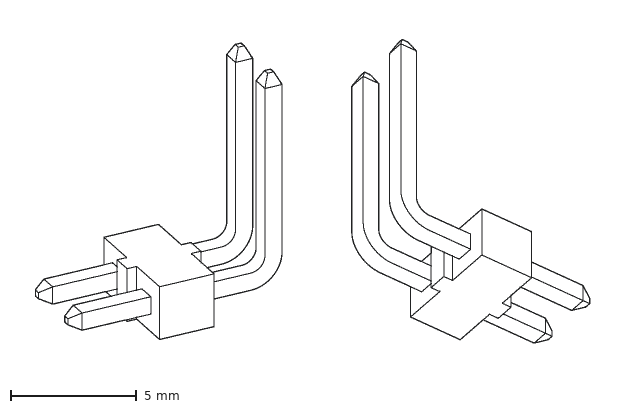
import cadquery as cq

body_width = 4.83
body_depth = 2.44
body_height = 2.36
rib_width = 0.86
rib_projection = 0.43

pin_pitch = 2.54
pin_size = 0.77
pin_axis_height = body_height / 2
pin_front_reach = 4.8
pin_back_reach = 4.65
pin_top = 10.17
bend_inner_radius = 0.63
tip_length = 0.51
tip_size = 0.27


def make_housing():
    """Plain block with a central rib on its front and back faces."""
    block = cq.Workplane("XY").box(body_width, body_depth, body_height, centered=(True, True, False))
    rib_depth = body_depth + 2 * rib_projection
    rib = cq.Workplane("XY").box(rib_width, rib_depth, body_height, centered=(True, True, False))
    return block.union(rib)


def make_tip(base_center, direction):
    """Truncated pyramid that narrows from the pin section along direction."""
    base_plane = cq.Plane(origin=base_center, xDir=(1, 0, 0), normal=direction)
    return (
        cq.Workplane(base_plane)
        .rect(pin_size, pin_size)
        .workplane(offset=tip_length)
        .rect(tip_size, tip_size)
        .loft(ruled=True)
    )


def make_pin(x):
    """Right-angle pin centred at x, tapered at both ends."""
    front = -pin_front_reach + tip_length
    back = pin_back_reach
    bottom = pin_axis_height - pin_size / 2
    top = pin_top - tip_length
    outer_radius = bend_inner_radius + pin_size
    shank = (
        cq.Workplane("YZ", origin=(x - pin_size / 2, 0, 0))
        .moveTo(front, bottom)
        .lineTo(back - outer_radius, bottom)
        .radiusArc((back, bottom + outer_radius), -outer_radius)
        .lineTo(back, top)
        .lineTo(back - pin_size, top)
        .lineTo(back - pin_size, bottom + outer_radius)
        .radiusArc((back - outer_radius, bottom + pin_size), bend_inner_radius)
        .lineTo(front, bottom + pin_size)
        .close()
        .extrude(pin_size)
    )
    front_tip = make_tip((x, front, pin_axis_height), (0, -1, 0))
    top_tip = make_tip((x, back - pin_size / 2, top), (0, 0, 1))
    return shank.union(front_tip).union(top_tip)


result = make_housing()
for pin_x in (-pin_pitch / 2, pin_pitch / 2):
    result = result.union(make_pin(pin_x))